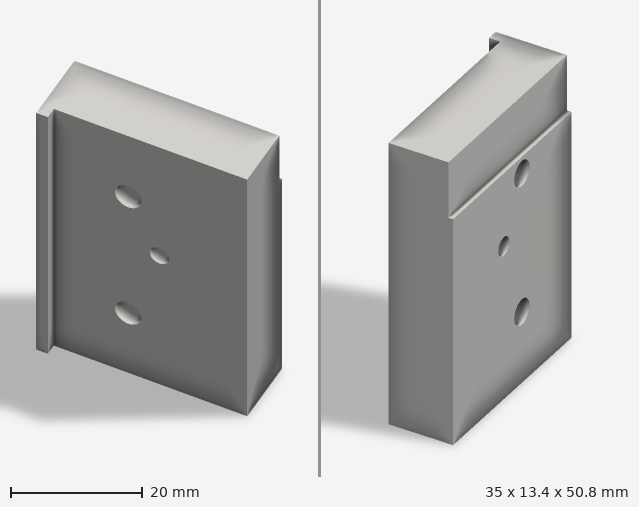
import cadquery as cq

width = 35.0
depth = 13.4
height = 50.8

lip_width = 2.0
lip_depth = 2.0

step_depth = 0.8
step_height = 10.0

large_hole_diameter = 4.5
large_hole_x = 14.7
large_hole_spacing = 25.0
lower_hole_z = 12.8
small_hole_diameter = 3.3
small_hole_x = 20.0
small_hole_z = 27.6


def box_from_corner(size_x, size_y, size_z, corner):
    return cq.Workplane("XY").box(size_x, size_y, size_z, centered=False).translate(corner)


def through_hole(x, z, diameter):
    """Cylinder along Y through the full depth of the block."""
    return cq.Workplane("XZ").center(x, z).circle(diameter / 2).extrude(-depth)


result = box_from_corner(width, depth, height, (0, 0, 0))

result = result.cut(box_from_corner(width - lip_width, lip_depth, height, (lip_width, 0, 0)))

step_corner = (0, depth - step_depth, height - step_height)
result = result.cut(box_from_corner(width, step_depth, step_height, step_corner))

for hole_z in (lower_hole_z, lower_hole_z + large_hole_spacing):
    result = result.cut(through_hole(large_hole_x, hole_z, large_hole_diameter))

result = result.cut(through_hole(small_hole_x, small_hole_z, small_hole_diameter))